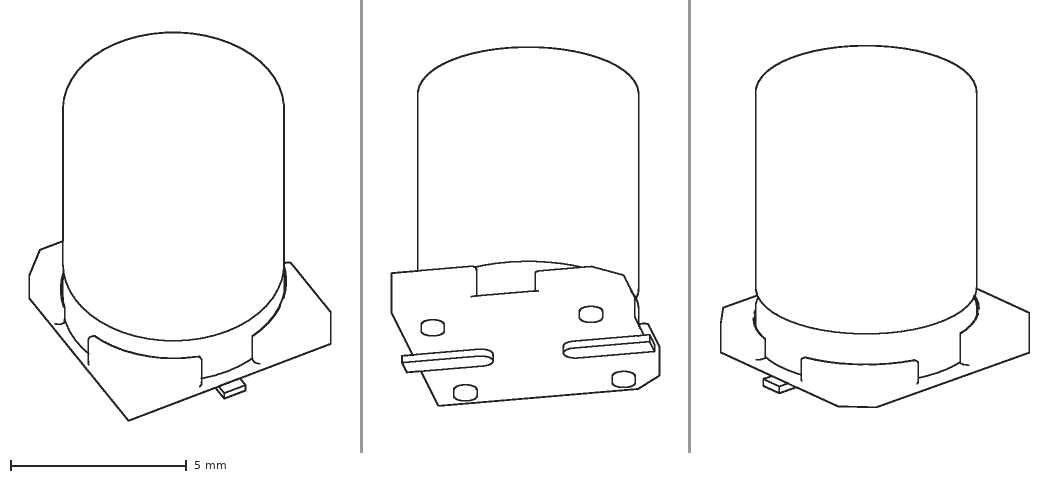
import cadquery as cq

TOTAL_HEIGHT = 8.3
LEAD_SPAN = 7.2
BASE_SIDE = 6.6

BASE_BOTTOM = 0.215
POCKET_FLOOR = 0.54
LOW_CORNER_TOP = 1.15
HIGH_CORNER_TOP = 1.48
CORNER_CHAMFER = 0.78
SLOT_WIDTH = 1.73
POCKET_DIAMETER = 6.36
SLOT_MOUTH_RADIUS = 0.125
EDGE_RADIUS = 0.03
SELECT_MARGIN = 0.01

CAN_DIAMETER = 6.3
CAN_EDGE_RADIUS = 0.125
GROOVE_DIAMETER = 5.67
GROOVE_BOTTOM = 1.61
GROOVE_WIDTH = 0.42

LEAD_WIDTH = 0.7
LEAD_INNER_END = 1.03
PIN_DIAMETER = 0.66
PIN_EDGE_RADIUS = 0.02
PIN_OFFSET = 2.3


def vertical_edge_at(x, y):
    """Selector for the vertical base edge through the point (x, y)."""
    return cq.selectors.BoxSelector(
        (x - SELECT_MARGIN, y - SELECT_MARGIN, POCKET_FLOOR),
        (x + SELECT_MARGIN, y + SELECT_MARGIN, HIGH_CORNER_TOP),
    )


def edges_at_height(height):
    """Selector for the base edges lying in the horizontal plane at this height."""
    return cq.selectors.BoxSelector(
        (-BASE_SIDE, -BASE_SIDE, height - SELECT_MARGIN),
        (BASE_SIDE, BASE_SIDE, height + SELECT_MARGIN),
    )


def make_base():
    """Square base with a can pocket, four side slots and two chamfered low corners."""
    half_side = BASE_SIDE / 2
    half_slot = SLOT_WIDTH / 2
    base = (
        cq.Workplane("XY")
        .workplane(offset=BASE_BOTTOM)
        .rect(BASE_SIDE, BASE_SIDE)
        .extrude(HIGH_CORNER_TOP - BASE_BOTTOM)
        .edges("|Z and <X")
        .chamfer(CORNER_CHAMFER)
        .edges("|Z")
        .fillet(EDGE_RADIUS)
        .faces("<Z")
        .edges()
        .fillet(EDGE_RADIUS)
    )

    step = (
        cq.Workplane("XY")
        .workplane(offset=LOW_CORNER_TOP)
        .center(-half_side / 2, 0)
        .rect(half_side, BASE_SIDE)
        .extrude(HIGH_CORNER_TOP - LOW_CORNER_TOP)
    )

    floor_plane = cq.Workplane("XY").workplane(offset=POCKET_FLOOR)
    recess_depth = HIGH_CORNER_TOP - POCKET_FLOOR
    pocket = floor_plane.circle(POCKET_DIAMETER / 2).extrude(recess_depth)
    slot_x = floor_plane.rect(BASE_SIDE, SLOT_WIDTH).extrude(recess_depth)
    slot_y = floor_plane.rect(SLOT_WIDTH, BASE_SIDE).extrude(recess_depth)
    base = base.cut(step).cut(pocket).cut(slot_x).cut(slot_y)

    for along, across in ((half_side, half_slot), (half_slot, half_side)):
        for sign_x in (-1, 1):
            for sign_y in (-1, 1):
                mouth_edge = vertical_edge_at(sign_x * along, sign_y * across)
                base = base.edges("|Z").edges(mouth_edge).fillet(SLOT_MOUTH_RADIUS)

    for top in (HIGH_CORNER_TOP, LOW_CORNER_TOP):
        base = base.edges(edges_at_height(top)).fillet(EDGE_RADIUS)
    for direction in ("<X", ">X", "<Y", ">Y"):
        base = base.faces(direction).edges(edges_at_height(POCKET_FLOOR)).fillet(EDGE_RADIUS)
    return base


def make_can():
    """Solid cylinder with rounded rims and a rolled groove near its lower end."""
    radius = CAN_DIAMETER / 2
    groove_radius = GROOVE_DIAMETER / 2
    groove_top = GROOVE_BOTTOM + GROOVE_WIDTH
    can = (
        cq.Workplane("XZ")
        .moveTo(0, POCKET_FLOOR)
        .lineTo(radius, POCKET_FLOOR)
        .lineTo(radius, GROOVE_BOTTOM)
        .lineTo(groove_radius, GROOVE_BOTTOM)
        .lineTo(groove_radius, groove_top)
        .lineTo(radius, groove_top)
        .lineTo(radius, TOTAL_HEIGHT)
        .lineTo(0, TOTAL_HEIGHT)
        .close()
        .revolve(360, (0, 0, 0), (0, 1, 0))
    )
    return can.edges("%CIRCLE and (not <Z)").fillet(CAN_EDGE_RADIUS)


def make_lead(side):
    """Flat terminal under the base with a rounded inner end; side is -1 or 1 along X."""
    end_radius = LEAD_WIDTH / 2
    outer = side * LEAD_SPAN / 2
    tip = side * LEAD_INNER_END
    tangent = side * (LEAD_INNER_END + end_radius)
    return (
        cq.Workplane("XY")
        .moveTo(outer, end_radius)
        .lineTo(tangent, end_radius)
        .threePointArc((tip, 0), (tangent, -end_radius))
        .lineTo(outer, -end_radius)
        .close()
        .extrude(BASE_BOTTOM)
    )


pins = (
    cq.Workplane("XY")
    .rect(2 * PIN_OFFSET, 2 * PIN_OFFSET, forConstruction=True)
    .vertices()
    .circle(PIN_DIAMETER / 2)
    .extrude(BASE_BOTTOM)
    .edges("%CIRCLE")
    .fillet(PIN_EDGE_RADIUS)
)

result = make_base().union(make_can()).union(pins)
for side in (-1, 1):
    result = result.union(make_lead(side))